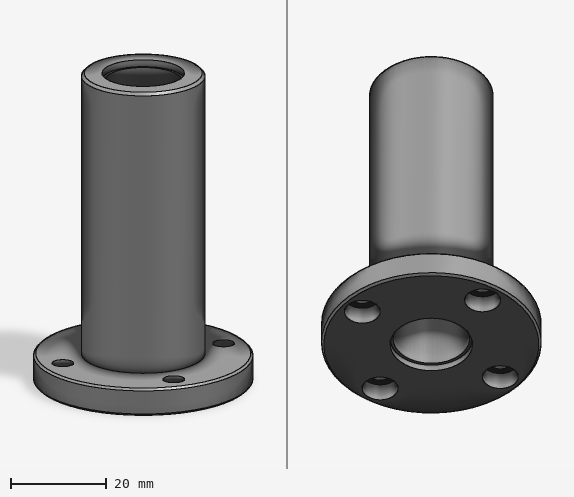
import cadquery as cq

total_length = 68.0
flange_diameter = 46.0
flange_thickness = 6.05
flange_chamfer = 0.5
barrel_diameter = 25.9
barrel_chamfer = 0.6

bore_diameter = 16.0
recess_diameter = 17.2
recess_depth = 1.5

hole_count = 4
hole_diameter = 4.5
counterbore_diameter = 7.5
counterbore_depth = 4.1
bolt_circle_diameter = 36.0


def cylinder(diameter, bottom, height):
    """Upright cylinder on the Z axis, standing at the given height."""
    return cq.Workplane("XY").workplane(offset=bottom).circle(diameter / 2).extrude(height)


def hole_ring(diameter, depth):
    """Ring of cylinders around the barrel, rising from the underside of the flange."""
    centers = cq.Workplane("XY").polarArray(bolt_circle_diameter / 2, 0, 360, hole_count)
    return centers.circle(diameter / 2).extrude(depth)


flange = cylinder(flange_diameter, 0, flange_thickness).faces("<Z or >Z").edges().chamfer(flange_chamfer)
barrel = cylinder(barrel_diameter, 0, total_length).faces(">Z").edges().chamfer(barrel_chamfer)
body = flange.union(barrel)

bore = cylinder(bore_diameter, 0, total_length)
top_recess = cylinder(recess_diameter, total_length - recess_depth, recess_depth)
bottom_recess = cylinder(recess_diameter, 0, recess_depth)
body = body.cut(bore).cut(top_recess).cut(bottom_recess)

through_holes = hole_ring(hole_diameter, flange_thickness)
counterbores = hole_ring(counterbore_diameter, counterbore_depth)
result = body.cut(through_holes).cut(counterbores)